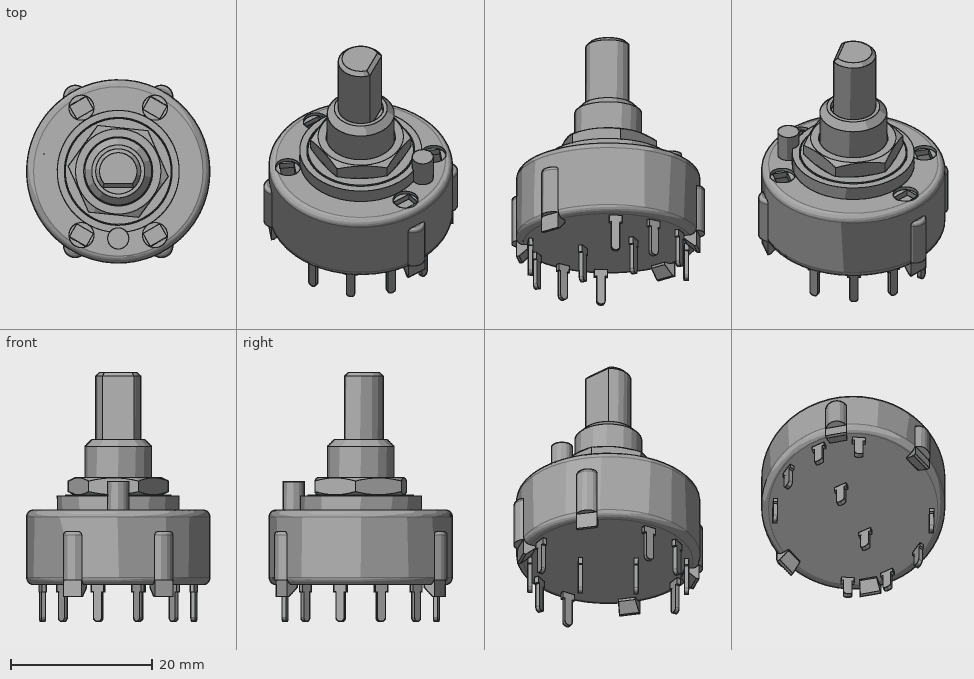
import cadquery as cq
import math


housing_d = 26.0
housing_h = 10.6
housing_edge_r = 1.0
housing_wall = 1.4
boss_d = 17.3
boss_h = 2.0
boss_top = housing_h + boss_h
bushing_d = 9.5
bushing_h = 10.0
bushing_top = housing_h + bushing_h
bushing_chamfer = 1.0

shaft_d = 6.4
shaft_top = 30.1
shaft_flat_offset = 2.3
shaft_flat_sink = 1.0
shaft_chamfer = 0.55

locating_pin_d = 3.0
locating_pin_h = 4.0
locating_pin_y = -9.5

washer_d = 15.0
washer_bore_d = 10.31
washer_h = 0.5
washer_rise = 0.1
washer_recess_d = 15.3
washer_top = boss_top + washer_rise
washer_bottom = washer_top - washer_h

nut_flats = 12.35
nut_bore_d = 9.8
nut_h = 2.5
nut_angle = -6.0
nut_face_d = 12.1
nut_chamfer_h = 0.5

snap_angles = (60, 120, 240, 300)
window_r = 10.42
window_bore_d = 3.55
window_bore_depth = 0.5
window_width = 2.75
window_length = 2.1

clip_bump_d = 3.3
clip_bump_r = 12.2
clip_bump_bottom = 0.65
clip_bump_top = 7.57
clip_bump_edge_r = 0.55
clip_leg_face_r = 12.97
clip_leg_width = 3.0
clip_leg_inner_width = 2.45
clip_leg_bottom = -1.67
clip_leg_tip = 0.4
clip_leg_depth = 1.9
clip_leg_slope_top = -0.37

terminal_ring_r = 11.1
terminal_angles = (345, 15, 45, 75, 165, 195, 225, 255)
common_terminal_r = 3.95
common_terminal_angles = (45, 225)
terminal_thickness = 0.6
shoulder_width = 1.85
shoulder_h = 1.0
blade_width = 1.2
blade_tip_r = 0.55
terminal_length = 5.2
terminal_root = 0.5


def cylinder(diameter, bottom, top):
    """Cylinder on the Z axis."""
    return cq.Workplane("XY").workplane(offset=bottom).circle(diameter / 2).extrude(top - bottom)


def box_between(length_x, length_y, bottom, top):
    """Box centred on the Z axis."""
    return cq.Workplane("XY").workplane(offset=bottom).rect(length_x, length_y).extrude(top - bottom)


def at_polar(body, radius, angle):
    """Move a body out along X, then turn it about the switch axis."""
    return body.translate((radius, 0, 0)).rotate((0, 0, 0), (0, 0, 1), angle)


def make_drum():
    drum = cylinder(housing_d, 0, housing_h)
    return drum.faces("<Z or >Z").edges().fillet(housing_edge_r)


def make_window():
    """Shallow round bore with a rectangular opening from its floor down to the cavity."""
    cavity_top = housing_h - housing_wall
    bore = cylinder(window_bore_d, housing_h - window_bore_depth, housing_h)
    opening = box_between(window_length, window_width, cavity_top, housing_h)
    return bore.union(opening.intersect(cylinder(window_bore_d, cavity_top, housing_h)))


def make_clip():
    """Rounded bump on the housing wall with a wedge-shaped leg below it, at angle 0."""
    bump = cylinder(clip_bump_d, clip_bump_bottom, clip_bump_top)
    bump = bump.faces(">Z").edges().fillet(clip_bump_edge_r)
    bump = bump.translate((clip_bump_r, 0, 0))
    leg_inner_r = clip_leg_face_r - clip_leg_depth
    leg = (
        cq.Workplane("XZ")
        .moveTo(clip_leg_face_r, clip_bump_bottom)
        .lineTo(clip_leg_face_r, clip_leg_bottom)
        .lineTo(clip_leg_face_r - clip_leg_tip, clip_leg_bottom)
        .lineTo(leg_inner_r, clip_leg_slope_top)
        .lineTo(leg_inner_r, clip_bump_bottom)
        .close()
        .extrude(clip_leg_width / 2, both=True)
    )
    leg_plan = (
        cq.Workplane("XY")
        .workplane(offset=clip_leg_bottom)
        .moveTo(clip_leg_face_r, -clip_leg_width / 2)
        .lineTo(clip_leg_face_r, clip_leg_width / 2)
        .lineTo(leg_inner_r, clip_leg_inner_width / 2)
        .lineTo(leg_inner_r, -clip_leg_inner_width / 2)
        .close()
        .extrude(clip_bump_bottom - clip_leg_bottom)
    )
    return bump.union(leg.intersect(leg_plan))


def make_shaft():
    """Shaft with its flat, starting at the depth where the flat ends inside the bushing."""
    flat_end = bushing_top - shaft_flat_sink
    shaft = cylinder(shaft_d, flat_end, shaft_top)
    flat_cut = (
        box_between(shaft_d, shaft_d, flat_end, shaft_top)
        .translate((0, -shaft_flat_offset - shaft_d / 2, 0))
    )
    return shaft.cut(flat_cut).faces(">Z").edges().chamfer(shaft_chamfer)


def make_bushing():
    """Bushing with a round socket that the shaft stands in."""
    bushing = cylinder(bushing_d, housing_h, bushing_top).faces(">Z").edges().chamfer(bushing_chamfer)
    return bushing.cut(cylinder(shaft_d, bushing_top - shaft_flat_sink, bushing_top))


def make_terminal():
    """Terminal with its width along Y and its thickness along X."""
    shoulder = box_between(terminal_thickness, shoulder_width, -shoulder_h, terminal_root)
    blade = box_between(terminal_thickness, blade_width, -terminal_length, terminal_root)
    blade = blade.faces("<Z").edges("|X").fillet(blade_tip_r)
    return shoulder.union(blade)


def make_switch():
    switch = make_drum()
    for angle in snap_angles:
        switch = switch.union(at_polar(make_clip(), 0, angle))
    switch = switch.cut(cylinder(housing_d - 2 * housing_wall, housing_wall, housing_h - housing_wall))
    for angle in snap_angles:
        switch = switch.cut(at_polar(make_window(), window_r, angle))

    boss = cylinder(boss_d, housing_h, boss_top)
    boss = boss.cut(cylinder(washer_recess_d, washer_bottom, boss_top))
    locating_pin = cylinder(locating_pin_d, housing_h, housing_h + locating_pin_h)
    locating_pin = locating_pin.translate((0, locating_pin_y, 0))
    switch = switch.union(boss).union(make_bushing()).union(make_shaft()).union(locating_pin)

    for angle in terminal_angles:
        switch = switch.union(at_polar(make_terminal(), terminal_ring_r, angle))
    for angle in common_terminal_angles:
        switch = switch.union(at_polar(make_terminal(), common_terminal_r, angle))
    return switch


def make_washer():
    return cylinder(washer_d, washer_bottom, washer_top).cut(
        cylinder(washer_bore_d, washer_bottom, washer_top)
    )


def make_nut():
    """Hex nut with its corners turned to a cone on both faces."""
    corner_r = nut_flats / 2 / math.cos(math.radians(30))
    nut_top = washer_top + nut_h
    hexagon = (
        cq.Workplane("XY")
        .workplane(offset=washer_top)
        .polygon(6, 2 * corner_r)
        .extrude(nut_h)
        .rotate((0, 0, 0), (0, 0, 1), nut_angle)
    )
    turned = (
        cq.Workplane("XZ")
        .moveTo(0, washer_top)
        .lineTo(nut_face_d / 2, washer_top)
        .lineTo(corner_r, washer_top + nut_chamfer_h)
        .lineTo(corner_r, nut_top - nut_chamfer_h)
        .lineTo(nut_face_d / 2, nut_top)
        .lineTo(0, nut_top)
        .close()
        .revolve(360, (0, 0, 0), (0, 1, 0))
    )
    return hexagon.intersect(turned).cut(cylinder(nut_bore_d, washer_top, nut_top))


switch = make_switch()
washer = make_washer()
nut = make_nut()

result = cq.Compound.makeCompound([switch.val(), washer.val(), nut.val()])